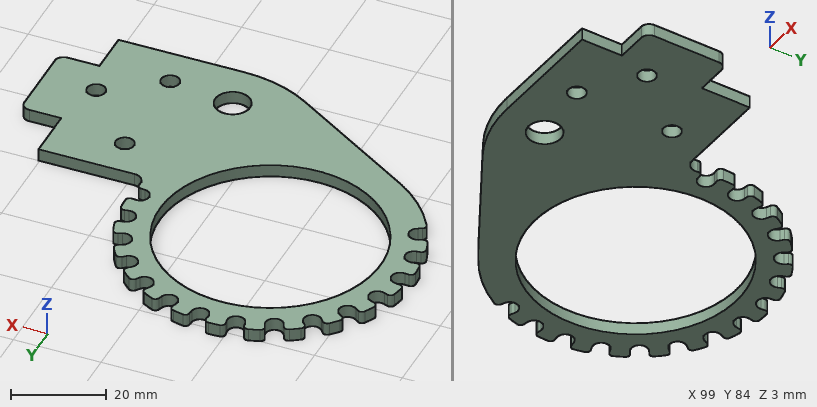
import cadquery as cq
import math

thickness = 3.0
ring_radius = 33.0
bore_radius = 25.1
plate_right = 56.7
plate_top = -8.9
plate_bottom = -51.0
slope_angle = 31.9
bottom_blend_radius = 30.0
top_blend_radius = 2.5

tab_right = 66.0
tab_top = -20.9
tab_height = 20.1
tab_corner_radius = 2.0

slot_pitch = 15.0
first_slot_angle = -5.0
slot_count = 15
slot_width = 4.0
slot_floor_radius = 28.9
tooth_corner_radius = 1.0

screw_hole_diameter = 4.2
screw_hole_places = [(41.0, -18.0), (41.0, -41.9), (54.0, -32.9)]
pivot_hole_diameter = 7.9
pivot_hole_place = (25.9, -40.0)

straight_down = 270


def polar(radius, degrees):
    angle = math.radians(degrees)
    return (radius * math.cos(angle), radius * math.sin(angle))


def shifted(point, offset):
    return (point[0] + offset[0], point[1] + offset[1])


def plate_body():
    """Ring disc and mounting plate in one outline, without teeth or holes."""
    slope_normal = straight_down - slope_angle
    slope_start = polar(ring_radius, slope_normal)
    blend_y = plate_bottom + bottom_blend_radius
    nx, ny = polar(1, slope_normal)
    blend_x = (ring_radius - bottom_blend_radius - blend_y * ny) / nx
    blend_centre = (blend_x, blend_y)
    slope_end = shifted(blend_centre, polar(bottom_blend_radius, slope_normal))
    blend_middle = shifted(blend_centre, polar(bottom_blend_radius, straight_down - slope_angle / 2))

    notch_y = plate_top + top_blend_radius
    notch_angle = math.degrees(math.asin(notch_y / (ring_radius + top_blend_radius)))
    notch_centre = polar(ring_radius + top_blend_radius, notch_angle)
    ring_end = polar(ring_radius, notch_angle)
    notch_middle = shifted(notch_centre, polar(top_blend_radius, (notch_angle + 180 + straight_down) / 2))

    tab_bottom = tab_top - tab_height
    outline = (
        cq.Workplane("XY")
        .moveTo(*slope_start)
        .lineTo(*slope_end)
        .threePointArc(blend_middle, (blend_x, plate_bottom))
        .lineTo(plate_right, plate_bottom)
        .lineTo(plate_right, tab_bottom)
        .lineTo(tab_right, tab_bottom)
        .lineTo(tab_right, tab_top)
        .lineTo(plate_right, tab_top)
        .lineTo(plate_right, plate_top)
        .lineTo(notch_centre[0], plate_top)
        .threePointArc(notch_middle, ring_end)
        .threePointArc(polar(ring_radius, (notch_angle + slope_normal) / 2), slope_start)
        .close()
    )
    return outline.extrude(thickness).edges("|Z and >X").fillet(tab_corner_radius)


def slot_cutter(angle):
    """Radial slot with a half-round floor, its mouth flared by the tooth corner rounds."""
    half = slot_width / 2
    corner = tooth_corner_radius
    floor_centre = slot_floor_radius + half
    corner_y = half + corner
    corner_x = math.sqrt((ring_radius - corner) ** 2 - corner_y ** 2)
    mouth_angle = math.degrees(math.atan2(corner_y, corner_x))
    mouth_x, mouth_y = polar(ring_radius, mouth_angle)
    round_x, round_y = shifted((corner_x, corner_y), polar(corner, (mouth_angle - 90) / 2))
    outside = ring_radius + corner
    return (
        cq.Workplane("XY")
        .moveTo(floor_centre, half)
        .threePointArc((slot_floor_radius, 0), (floor_centre, -half))
        .lineTo(corner_x, -half)
        .threePointArc((round_x, -round_y), (mouth_x, -mouth_y))
        .lineTo(outside, -mouth_y)
        .lineTo(outside, mouth_y)
        .lineTo(mouth_x, mouth_y)
        .threePointArc((round_x, round_y), (corner_x, half))
        .close()
        .extrude(thickness)
        .rotate((0, 0, 0), (0, 0, 1), angle)
    )


def hole_cutter(places, diameter):
    return cq.Workplane("XY").pushPoints(places).circle(diameter / 2).extrude(thickness)


result = plate_body()
for index in range(slot_count):
    result = result.cut(slot_cutter(first_slot_angle + index * slot_pitch))
result = result.cut(hole_cutter([(0, 0)], 2 * bore_radius))
result = result.cut(hole_cutter(screw_hole_places, screw_hole_diameter))
result = result.cut(hole_cutter([pivot_hole_place], pivot_hole_diameter))